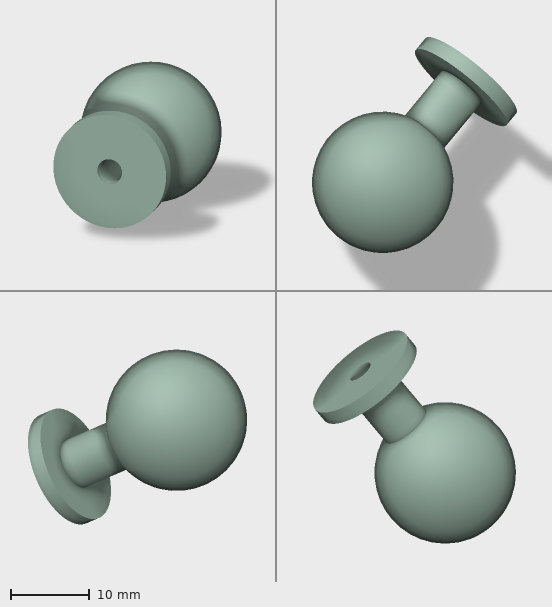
import cadquery as cq
import math

total_length = 27.0
ball_diameter = 18.0
stem_diameter = 6.5
flange_diameter = 15.0
flange_thickness = 2.0
hole_diameter = 3.3
hole_depth = 10.0
drill_tip_angle = 118.0

ball_radius = ball_diameter / 2
ball_center = total_length - ball_radius
hole_radius = hole_diameter / 2
tip_depth = hole_radius / math.tan(math.radians(drill_tip_angle / 2))


def cylinder_along_y(diameter, length):
    """Cylinder on the knob axis, starting at the mounting face."""
    return cq.Workplane("XZ").circle(diameter / 2).extrude(-length)


def drilled_hole():
    """Blind hole with a conical drill tip, revolved about the knob axis."""
    return (
        cq.Workplane("XY")
        .lineTo(hole_radius, 0)
        .lineTo(hole_radius, hole_depth)
        .lineTo(0, hole_depth + tip_depth)
        .close()
        .revolve(360, (0, 0, 0), (0, 1, 0))
    )


def ball():
    """Ball with its poles on the knob axis."""
    return (
        cq.Workplane("XY")
        .moveTo(0, ball_center - ball_radius)
        .threePointArc((ball_radius, ball_center), (0, total_length))
        .close()
        .revolve(360, (0, 0, 0), (0, 1, 0))
    )


flange = cylinder_along_y(flange_diameter, flange_thickness)
stem = cylinder_along_y(stem_diameter, ball_center)

result = flange.union(stem).union(ball()).cut(drilled_hole())